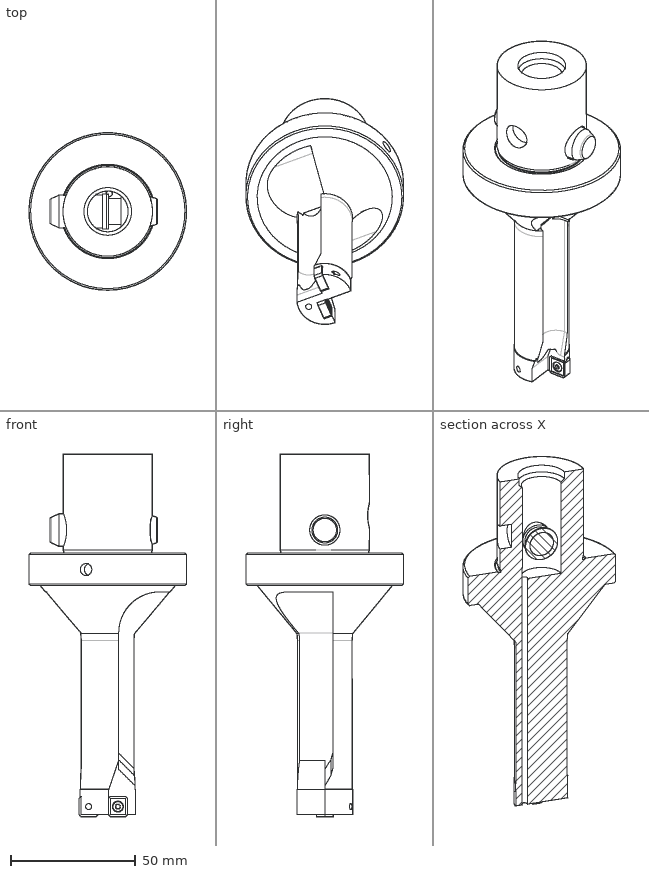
import cadquery as cq
import math

FAR = 60.0
OVERSHOOT = 1.0

total_length = 146.0
shank_radius = 18.0
shank_length = 39.75
bore_radius = 8.2
bore_bottom = -5.0
mouth_radius = 9.6
mouth_depth = 3.0
key_hole_radius = 5.0
key_hole_depth = 5.0
key_hole_z = 15.0

undercut_shank_radius = 17.6
undercut_outer_radius = 19.0
undercut_height = 1.2
undercut_depth = 0.4

flange_diameter = 63.5
flange_radius = flange_diameter / 2
flange_bottom = -13.2
flange_chamfer = 0.7
cone_radius = 27.2
cone_bottom = -32.5
neck_bottom = -35.3
stem_radius = 11.05
neck_flare = 0.2
neck_radius = stem_radius + neck_flare
head_radius = 11.25
head_top = -95.3
head_chamfer = head_radius - stem_radius
tip_z = shank_length - total_length
insert_overhang = 0.9
head_bottom = tip_z + insert_overhang
cutter_bottom = head_bottom - OVERSHOOT

rim_hole_radius = 2.4
rim_hole_depth = 6.0
rim_hole_z = -6.7
rim_hole_angle = 254.0
drill_tip_slope = 30.0
drill_tip_height = rim_hole_radius * math.tan(math.radians(drill_tip_slope))

front_floor = 4.4
rear_floor = 4.8
front_wall_y = 3.2
rear_wall_y = -3.9
runout_top = -15.7
runout_radius = 16.5
ramp_top = -80.6
ramp_length = 4.6
ramp_bend = (-1.9, 2.4)
pocket_edge = 0.4
pocket_taper_top = -83.5
groove_radius = 6.0
groove_x = -9.3
groove_y = 3.3
groove_reach = 20.0
groove_end = -86.0
groove_top = -31.0
groove_slant_bottom = -33.4
groove_foot_y = 6.4
groove_foot = -97.5
rear_pocket_floor = -3.0
rear_pocket_bend = -98.8
rear_pocket_top = -94.0
rear_pocket_top_x = -4.5

insert_width = 7.8
insert_thickness = 3.4
insert_corner = 0.9
insert_height = 8.3
breaker_rim = 0.9
breaker_depth = 0.3
inner_insert_x = 4.1
outer_insert_x = -7.7
insert_z = tip_z + insert_height / 2
screw_radius = 1.2
screw_head_radius = 2.2
screw_head_depth = 1.4
screw_length = 7.2
screw_socket_radius = 0.9
screw_socket_depth = 1.0

coolant_x = 0.6
coolant_y = 7.2
coolant_radius = 1.2

pin_z = 9.2
pin_end = -23.3
pin_face_radius = 4.7
pin_cone_start = -22.7
pin_cone_radius = 5.2
pin_cone_end = -19.6
pin_radius = 6.6
pin_hole_radius = 7.1
pin_shoulder = -2.2
ring_radius = 7.0
ring_split = -0.5
ring_end = 0.4
spigot_radius = 5.2
spigot_end = 5.3
sleeve_radius = 6.1
sleeve_cone_start = 17.2
sleeve_cone_end = 19.6
sleeve_cone_radius = 5.2
sleeve_face_radius = 4.7
sleeve_end = 20.1


def cylinder(radius, start, direction, length):
    return cq.Workplane(cq.Solid.makeCylinder(radius, length, cq.Vector(*start), cq.Vector(*direction)))


def turned_along_x(profile):
    """Turn (x, radius) points about the clamping pin's axis."""
    return (
        cq.Workplane("XZ", origin=(0, 0, pin_z)).polyline(profile).close()
        .revolve(360, (0, 0, 0), (1, 0, 0))
    )


def turned_body():
    """Shank, flange, cone, stem and head as one turned shape with its seam on the -Y side."""
    profile = [
        (0, shank_length),
        (shank_radius, shank_length),
        (shank_radius, undercut_height),
        (undercut_shank_radius, 0),
        (undercut_shank_radius, -undercut_depth),
        (undercut_outer_radius - undercut_depth, -undercut_depth),
        (undercut_outer_radius, 0),
        (flange_radius - flange_chamfer, 0),
        (flange_radius, -flange_chamfer),
        (flange_radius, flange_bottom + flange_chamfer),
        (flange_radius - flange_chamfer, flange_bottom),
        (cone_radius, flange_bottom),
        (neck_radius, cone_bottom),
        (stem_radius, neck_bottom),
        (stem_radius, head_top + head_chamfer),
        (head_radius, head_top),
        (head_radius, head_bottom),
        (0, head_bottom),
    ]
    return (
        cq.Workplane("YZ").polyline([(-radius, z) for radius, z in profile]).close()
        .revolve(360, (0, 0, 0), (0, 1, 0))
    )


def bore():
    """Stepped bore with a conical seat under its mouth."""
    seat_top = shank_length - mouth_depth
    profile = [
        (0, shank_length),
        (mouth_radius, shank_length),
        (mouth_radius, seat_top),
        (bore_radius, seat_top - (mouth_radius - bore_radius)),
        (bore_radius, bore_bottom),
        (0, bore_bottom),
    ]
    return (
        cq.Workplane("YZ").polyline([(-radius, z) for radius, z in profile]).close()
        .revolve(360, (0, 0, 0), (0, 1, 0))
    )


def rim_hole():
    """Radial blind hole with a drill tip in the flange rim."""
    bottom = flange_radius - rim_hole_depth
    profile = [
        (bottom - drill_tip_height, 0),
        (bottom, rim_hole_radius),
        (flange_radius + OVERSHOOT, rim_hole_radius),
        (flange_radius + OVERSHOOT, 0),
    ]
    hole = cq.Workplane("XY").polyline(profile).close().revolve(360, (0, 0, 0), (1, 0, 0))
    return hole.rotate((0, 0, 0), (0, 0, 1), rim_hole_angle).translate((0, 0, rim_hole_z))


def runout(floor, bottom, wall_y):
    """Flute on the +X side that sweeps out through the cone and lies in front of a wall at wall_y."""
    arc_x = floor + runout_radius
    arc_z = runout_top - runout_radius
    half = runout_radius * math.sqrt(0.5)
    return (
        cq.Workplane("XZ", origin=(0, wall_y, 0))
        .moveTo(floor, bottom)
        .lineTo(floor, arc_z)
        .threePointArc((arc_x - half, arc_z + half), (arc_x, runout_top))
        .lineTo(FAR, runout_top)
        .lineTo(FAR, bottom)
        .close()
        .extrude(FAR)
    )


def front_flute():
    """Square flute on the +X, -Y side whose wall ramps forward to the insert seat."""
    flute = runout(front_floor, cutter_bottom, front_wall_y)
    ramp_plane = cq.Plane(origin=(front_floor, 0, ramp_top), xDir=(1, 0, 1), normal=(-1, 0, 1))
    below_ramp = (
        cq.Workplane(ramp_plane)
        .polyline([(0, front_wall_y), ramp_bend, (-ramp_length, 0), (-FAR, 0), (-FAR, front_wall_y)])
        .close()
        .extrude(FAR, both=True)
    )
    pocket = (
        cq.Workplane("XZ")
        .polyline([
            (front_floor, pocket_taper_top),
            (pocket_edge, head_top),
            (pocket_edge, cutter_bottom),
            (FAR, cutter_bottom),
            (FAR, pocket_taper_top),
        ])
        .close()
        .extrude(FAR)
    )
    return flute.cut(below_ramp).union(pocket)


def groove_cutter(start, end):
    """Round-bottomed channel, open toward -X, that runs from one point to another."""

    def section(point):
        x, y, z = point
        return (
            cq.Workplane("XY", origin=(x, y, z))
            .moveTo(-groove_reach, -groove_radius)
            .lineTo(0, -groove_radius)
            .threePointArc((groove_radius, 0), (0, groove_radius))
            .lineTo(-groove_reach, groove_radius)
            .close()
            .val()
        )

    return cq.Workplane(cq.Solid.makeLoft([section(start), section(end)], True))


def rear_flute():
    """Round-bottomed flute on the -X, +Y side that leads down to the outer insert."""
    sweep = runout(rear_floor, cone_bottom, -rear_wall_y).rotate((0, 0, 0), (0, 0, 1), 180)
    start = (groove_x, groove_y, groove_end)
    groove = groove_cutter(start, (groove_x, groove_y, groove_top))
    slanted_end = (
        cq.Workplane("XZ")
        .polyline([
            (-rear_floor, groove_top),
            (groove_x + groove_radius, groove_slant_bottom),
            (0, groove_slant_bottom),
            (0, groove_top),
        ])
        .close()
        .extrude(FAR, both=True)
    )
    groove = groove.cut(slanted_end)
    ramp = groove_cutter(start, (groove_x, groove_foot_y, groove_foot))
    pocket = (
        cq.Workplane("XZ")
        .polyline([
            (rear_pocket_floor, cutter_bottom),
            (rear_pocket_floor, rear_pocket_bend),
            (rear_pocket_top_x, rear_pocket_top),
            (-FAR, rear_pocket_top),
            (-FAR, cutter_bottom),
        ])
        .close()
        .extrude(-FAR)
    )
    return [sweep, groove, ramp, pocket]


def insert_blank(x, side):
    """Square insert plate with its cutting face on Y = 0; side is the Y direction of its body."""
    return (
        cq.Workplane("XZ", origin=(x, 0, insert_z))
        .rect(insert_width, insert_height)
        .extrude(-side * insert_thickness)
        .edges("|Y")
        .chamfer(insert_corner)
    )


def chip_breaker(x, side):
    return (
        cq.Workplane("XZ", origin=(x, 0, insert_z))
        .rect(insert_width - 2 * breaker_rim, insert_height - 2 * breaker_rim)
        .extrude(-side * breaker_depth)
    )


def screw_blank(x, side):
    """Countersunk insert screw along Y."""
    profile = [
        (0, 0),
        (screw_head_radius, 0),
        (screw_radius, side * screw_head_depth),
        (screw_radius, side * screw_length),
        (0, side * screw_length),
    ]
    return (
        cq.Workplane("XY").polyline(profile).close().revolve(360, (0, 0, 0), (0, 1, 0))
        .translate((x, 0, insert_z))
    )


def screw_socket(x, side):
    return cylinder(screw_socket_radius, (x, 0, insert_z), (0, side, 0), screw_socket_depth)


clamp_pin = turned_along_x([
    (pin_end, 0),
    (pin_end, pin_face_radius),
    (pin_cone_start, pin_cone_radius),
    (pin_cone_end, pin_radius),
    (pin_shoulder, pin_radius),
    (pin_shoulder, spigot_radius),
    (spigot_end, spigot_radius),
    (spigot_end, 0),
])


def pin_ring(start, end):
    return turned_along_x([
        (start, spigot_radius), (start, ring_radius), (end, ring_radius), (end, spigot_radius),
    ])


seal_ring = pin_ring(pin_shoulder, ring_split)
stop_ring = pin_ring(ring_split, ring_end)
clamp_sleeve = turned_along_x([
    (spigot_end, 0),
    (spigot_end, sleeve_radius),
    (sleeve_cone_start, sleeve_radius),
    (sleeve_cone_end, sleeve_cone_radius),
    (sleeve_end, sleeve_face_radius),
    (sleeve_end, 0),
])

inserts = []
screws = []
seats = []
for x, side in [(inner_insert_x, 1), (outer_insert_x, -1)]:
    blank = insert_blank(x, side)
    screw = screw_blank(x, side)
    inserts.append(blank.cut(chip_breaker(x, side)).cut(screw))
    screws.append(screw.cut(screw_socket(x, side)))
    seats.append(blank)
    seats.append(cylinder(screw_radius, (x, 0, insert_z), (0, side, 0), FAR))

pin_hole = cylinder(pin_hole_radius, (-FAR, 0, pin_z), (1, 0, 0), FAR)
sleeve_hole = cylinder(sleeve_radius, (0, 0, pin_z), (1, 0, 0), FAR)
key_hole = cylinder(
    key_hole_radius, (0, shank_radius - key_hole_depth, key_hole_z), (0, 1, 0), 2 * key_hole_depth
)
coolant_hole = cylinder(coolant_radius, (coolant_x, coolant_y, 0), (0, 0, -1), 2 * FAR)
holder = turned_body()
cutters = [bore(), pin_hole, sleeve_hole, key_hole, rim_hole(), coolant_hole, front_flute()]
for cutter in cutters + rear_flute() + seats:
    holder = holder.cut(cutter)

bodies = [holder, clamp_pin, seal_ring, stop_ring, clamp_sleeve] + inserts + screws
result = cq.Compound.makeCompound([body.val() for body in bodies])